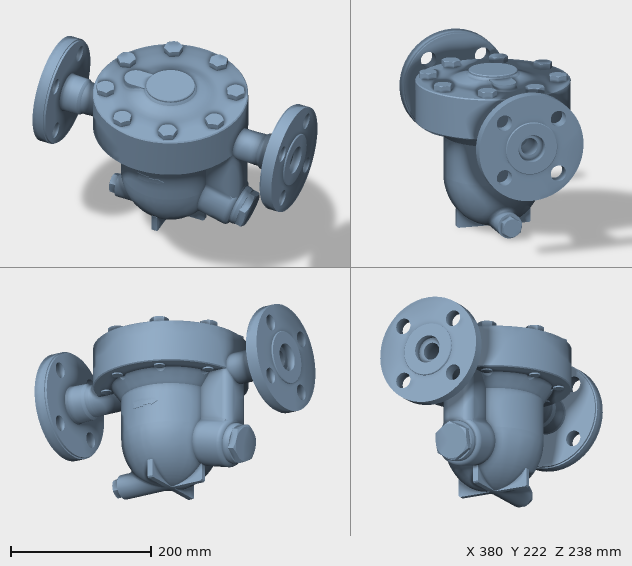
import cadquery as cq
import math

EMBED = 1.0

HEX_CORNER_SLOPE = 30.0

FACE_TO_FACE = 380.0
BODY_TO_LEFT_FACE = 183.0
PIPE_MIDDLE_X = FACE_TO_FACE / 2 - BODY_TO_LEFT_FACE
FLANGE_RADIUS = 78.0
FLANGE_BACK_STEP = 3.0
FLANGE_BACK_RADIUS = FLANGE_RADIUS - 2.0
FLANGE_BACK = 21.3
RAISED_FACE_RADIUS = 38.5
RAISED_FACE_HEIGHT = 2.0
RAISED_FACE_CHAMFER = 1.0
HUB_FLANGE_RADIUS = 28.0
HUB_BACK_RADIUS = 27.0
HUB_FRONT_RADIUS = 26.3
HUB_BACK = FLANGE_BACK + 3.0
HUB_FRONT = 47.0
WELD_START = 51.5
WELD_END = 64.0
WELD_RADIUS = 23.4
PIPE_RADIUS = 23.0
SOCKET_RADIUS = 20.0
SOCKET_DEPTH = 12.0
BORE_RADIUS = 12.5
BORE_DEPTH = 60.0
FLANGE_HOLE_DIAMETER = 23.0
FLANGE_HOLE_COUNT = 4
FLANGE_HOLE_FIRST_ANGLE = 180.0 / FLANGE_HOLE_COUNT
FLANGE_HOLE_CIRCLE_RADIUS = 57.2

JOINT_RADIUS = 111.0
JOINT_CHAMFER = 1.5
COVER_TOP_Z = 55.0
JOINT_BOTTOM_Z = -6.0
BOLT_COUNT = 8
BOLT_CIRCLE_RADIUS = 93.0
BOLT_FIRST_ANGLE = 180.0 / BOLT_COUNT
BOLT_HEAD_TWIST = -BOLT_FIRST_ANGLE
BOLT_HEAD_FLATS = 24.0
BOLT_HEAD_HEIGHT = 9.0
BOLT_DIAMETER = 16.0
BOLT_END_Z = JOINT_BOTTOM_Z - 2.0
SPOT_FACE_DIAMETER = 23.0

DISH_RADIUS = 67.0
CONE_SLOPE = 18.3
CONE_BASE_RADIUS = 55.5
CONE_BASE_Z = COVER_TOP_Z + (DISH_RADIUS - CONE_BASE_RADIUS) * math.tan(math.radians(CONE_SLOPE / 2))
CONE_TOP_RADIUS = 38.0
CONE_TOP_Z = CONE_BASE_Z + (CONE_BASE_RADIUS - CONE_TOP_RADIUS) * math.tan(math.radians(CONE_SLOPE))
CAP_RADIUS = 35.0
CAP_SIDE_BOTTOM_Z = 66.0
CAP_TOP_Z = 69.5
CAP_CHAMFER = 1.0
TAB_HALF_WIDTH = 16.5
TAB_TIP_X = -71.0
TAB_SHOULDER_X = TAB_TIP_X + TAB_HALF_WIDTH
TAB_TOP_Z = 64.5
TAB_BASE_FILLET = 3.0

BODY_RADIUS = 71.0
NECK_TOP_RADIUS = 85.0
NECK_BOTTOM_Z = -26.0
DOME_Z = -84.0
DOME_DEPTH = 75.5
BASE_Z = -160.0
FOOT_THICKNESS = 8.0
FOOT_REACH = 55.0
FOOT_TOP_Z = -133.0
FOOT_CHAMFER = 2.0

DRAIN_RADIUS = 18.0
DRAIN_Z = BASE_Z + DRAIN_RADIUS
DRAIN_END_X = -80.0
DRAIN_FILLET = 4.0
DRAIN_PLUG_FLATS = 26.0
DRAIN_PLUG_LENGTH = 11.0

STRAINER_SLOPE = 15.0
BARREL_RADIUS = 35.0
BARREL_END = 111.0
BARREL_END_FILLET = 7.0
STRAINER_CAP_RADIUS = 29.0
STRAINER_CAP_RIM_END = 115.5
STRAINER_CAP_END_RADIUS = 27.5
STRAINER_CAP_END = 121.0
STRAINER_HEX_FLATS = 49.5
STRAINER_HEX_END = 131.5

RIB_END_X = 114.0
RIB_HALF_WIDTH = 24.0
RIB_SINK = 22.0
RIB_CORNER_RADIUS = 12.0
RIB_BARREL_FILLET = 8.0

ARROW_Z = -52.0
ARROW_TAIL_X = -20.0
ARROW_NOTCH_X = -17.5
ARROW_WAIST_X = -0.5
ARROW_HEAD_X = 11.5
ARROW_TIP_X = 21.0
ARROW_HALF_WIDTH = 4.8
ARROW_SHAFT_HALF_WIDTH = 3.0
ARROW_HEIGHT = 1.0


def cylinder(plane, radius, length):
    return cq.Workplane(plane).circle(radius).extrude(length)


def hex_head(flats, height):
    """Hexagon standing on z = 0 with a corner on +X and rounded-off top corners."""
    corner_radius = flats / math.sqrt(3)
    prism = cq.Workplane("XY").polygon(6, 2 * corner_radius).extrude(height)
    corner_drop = (corner_radius - flats / 2) * math.tan(math.radians(HEX_CORNER_SLOPE))
    rounding = (
        cq.Workplane("XZ")
        .lineTo(corner_radius, 0)
        .lineTo(corner_radius, height - corner_drop)
        .lineTo(flats / 2, height)
        .lineTo(0, height)
        .close()
        .revolve(360, (0, 0, 0), (0, 1, 0))
    )
    return prism.intersect(rounding)


def place(solid, origin, direction, corner_direction):
    """Move a solid so that its Z axis follows direction and its X axis corner_direction."""
    plane = cq.Plane(origin=origin, xDir=corner_direction, normal=direction)
    return cq.Workplane(obj=solid.val().moved(cq.Location(plane)))


def make_nozzle():
    """Flange with welded pipe; the raised face is at z = 0 and the pipe runs up to the body axis."""
    face_edge = RAISED_FACE_RADIUS - RAISED_FACE_CHAMFER
    return (
        cq.Workplane("XZ")
        .lineTo(face_edge, 0)
        .lineTo(RAISED_FACE_RADIUS, RAISED_FACE_CHAMFER)
        .lineTo(RAISED_FACE_RADIUS, RAISED_FACE_HEIGHT)
        .lineTo(FLANGE_RADIUS, RAISED_FACE_HEIGHT)
        .lineTo(FLANGE_RADIUS, FLANGE_BACK - FLANGE_BACK_STEP)
        .lineTo(FLANGE_BACK_RADIUS, FLANGE_BACK - FLANGE_BACK_STEP)
        .lineTo(FLANGE_BACK_RADIUS, FLANGE_BACK)
        .lineTo(HUB_FLANGE_RADIUS, FLANGE_BACK)
        .lineTo(HUB_BACK_RADIUS, HUB_BACK)
        .lineTo(HUB_FRONT_RADIUS, HUB_FRONT)
        .lineTo(WELD_RADIUS, WELD_START)
        .lineTo(WELD_RADIUS, (WELD_START + WELD_END) / 2)
        .lineTo(PIPE_RADIUS, WELD_END)
        .lineTo(PIPE_RADIUS, BODY_TO_LEFT_FACE)
        .lineTo(0, BODY_TO_LEFT_FACE)
        .close()
        .revolve(360, (0, 0, 0), (0, 1, 0))
    )


def make_nozzle_cutter():
    """Stepped bore and flange holes, in the same position as the nozzle."""
    holes = (
        cq.Workplane("XY")
        .polarArray(FLANGE_HOLE_CIRCLE_RADIUS, FLANGE_HOLE_FIRST_ANGLE, 360, FLANGE_HOLE_COUNT)
        .circle(FLANGE_HOLE_DIAMETER / 2)
        .extrude(FLANGE_BACK)
    )
    socket = cylinder("XY", SOCKET_RADIUS, SOCKET_DEPTH)
    bore = cylinder("XY", BORE_RADIUS, BORE_DEPTH)
    return holes.union(socket).union(bore)


def both_nozzles(solid):
    left = place(solid, (-BODY_TO_LEFT_FACE, 0, 0), (1, 0, 0), (0, 0, 1))
    return left.union(left.mirror("YZ", (PIPE_MIDDLE_X, 0, 0)))


def make_joint():
    """Cover flange and body flange, closed on each other as one disc."""
    disc = cylinder("XY", JOINT_RADIUS, COVER_TOP_Z - JOINT_BOTTOM_Z)
    return disc.edges("%CIRCLE").chamfer(JOINT_CHAMFER).translate((0, 0, JOINT_BOTTOM_Z))


def make_cover_rise():
    """Cone in the middle of the cover, running out tangentially onto its flat top."""
    base_z = COVER_TOP_Z - EMBED
    return (
        cq.Workplane("XZ")
        .moveTo(0, base_z)
        .lineTo(0, CONE_TOP_Z)
        .lineTo(CONE_TOP_RADIUS, CONE_TOP_Z)
        .lineTo(CONE_BASE_RADIUS, CONE_BASE_Z)
        .tangentArcPoint((DISH_RADIUS, COVER_TOP_Z), relative=False)
        .lineTo(DISH_RADIUS, base_z)
        .close()
        .revolve(360, (0, 0, 0), (0, 1, 0))
    )


def make_tab():
    """Flat tab reaching left from the cap, with a rounded tip."""
    base_z = COVER_TOP_Z - EMBED
    return (
        cq.Workplane("XY", origin=(0, 0, base_z))
        .moveTo(0, -TAB_HALF_WIDTH)
        .lineTo(TAB_SHOULDER_X, -TAB_HALF_WIDTH)
        .threePointArc((TAB_TIP_X, 0), (TAB_SHOULDER_X, TAB_HALF_WIDTH))
        .lineTo(0, TAB_HALF_WIDTH)
        .close()
        .extrude(TAB_TOP_Z - base_z)
    )


def add_cover_centre(cover):
    """Join the rise and the tab to the cover, round the foot of the tab and set the cap on top."""
    tab_foot = cq.selectors.BoxSelector(
        (TAB_TIP_X - EMBED, -TAB_HALF_WIDTH - EMBED, COVER_TOP_Z - EMBED),
        (-CONE_TOP_RADIUS, TAB_HALF_WIDTH + EMBED, CONE_TOP_Z),
    )
    cover = cover.union(make_cover_rise()).union(make_tab())
    cover = cover.edges(tab_foot).edges("not |Z").fillet(TAB_BASE_FILLET)
    return cover.union(make_cap())


def make_cap():
    """Round cap on the cone, flared at its foot."""
    return (
        cq.Workplane("XZ")
        .moveTo(0, CONE_TOP_Z - EMBED)
        .lineTo(CONE_TOP_RADIUS, CONE_TOP_Z - EMBED)
        .lineTo(CONE_TOP_RADIUS, CONE_TOP_Z)
        .lineTo(CAP_RADIUS, CAP_SIDE_BOTTOM_Z)
        .lineTo(CAP_RADIUS, CAP_TOP_Z - CAP_CHAMFER)
        .lineTo(CAP_RADIUS - CAP_CHAMFER, CAP_TOP_Z)
        .lineTo(0, CAP_TOP_Z)
        .close()
        .revolve(360, (0, 0, 0), (0, 1, 0))
    )


def make_body():
    """Conical neck, cylinder and domed bottom below the joint."""
    return (
        cq.Workplane("XZ")
        .moveTo(0, JOINT_BOTTOM_Z + EMBED)
        .lineTo(NECK_TOP_RADIUS, JOINT_BOTTOM_Z + EMBED)
        .lineTo(NECK_TOP_RADIUS, JOINT_BOTTOM_Z)
        .lineTo(BODY_RADIUS, NECK_BOTTOM_Z)
        .lineTo(BODY_RADIUS, DOME_Z)
        .ellipseArc(BODY_RADIUS, DOME_DEPTH, -90, 0, sense=-1)
        .close()
        .revolve(360, (0, 0, 0), (0, 1, 0))
    )


def make_feet():
    """Upright plates under the dome: one across its whole width and one reaching right."""
    height = FOOT_TOP_Z - BASE_Z
    across = (
        cq.Workplane("XY", origin=(0, 0, BASE_Z))
        .rect(FOOT_THICKNESS, 2 * FOOT_REACH)
        .extrude(height)
        .edges("|X and <Z")
        .chamfer(FOOT_CHAMFER)
    )
    reaching_right = (
        cq.Workplane("XY", origin=(FOOT_REACH / 2, 0, BASE_Z))
        .rect(FOOT_REACH, FOOT_THICKNESS)
        .extrude(height)
        .edges("|Y and <Z and >X")
        .chamfer(FOOT_CHAMFER)
    )
    return across.union(reaching_right)


def add_drain_boss(body):
    """Join the drain boss to the dome and round the corner between them."""
    boss = cylinder("YZ", DRAIN_RADIUS, -DRAIN_END_X).translate((DRAIN_END_X, 0, DRAIN_Z))
    corner = cq.selectors.BoxSelector(
        (DRAIN_END_X, -DRAIN_RADIUS, BASE_Z),
        (-EMBED, DRAIN_RADIUS, BASE_Z + 2 * DRAIN_RADIUS),
    )
    return body.union(boss).edges("%BSPLINE").edges(corner).fillet(DRAIN_FILLET)


def make_drain_plug():
    plug = hex_head(DRAIN_PLUG_FLATS, DRAIN_PLUG_LENGTH + EMBED)
    return place(plug, (DRAIN_END_X + EMBED, 0, DRAIN_Z), (-1, 0, 0), (0, 0, 1))


def along_strainer(solid):
    """Lay a solid built along +Z on the sloping strainer axis, its X axis in the XZ plane."""
    slope = math.radians(STRAINER_SLOPE)
    direction = (math.cos(slope), 0, -math.sin(slope))
    upward = (math.sin(slope), 0, math.cos(slope))
    return place(solid, (0, 0, DOME_Z), direction, upward)


def make_strainer_barrel():
    barrel = cylinder("XY", BARREL_RADIUS, BARREL_END)
    return along_strainer(barrel.faces(">Z").edges().fillet(BARREL_END_FILLET))


def make_strainer_cap():
    base = BARREL_END - EMBED
    collar = (
        cq.Workplane("XZ")
        .moveTo(0, base)
        .lineTo(STRAINER_CAP_RADIUS, base)
        .lineTo(STRAINER_CAP_RADIUS, STRAINER_CAP_RIM_END)
        .lineTo(STRAINER_CAP_END_RADIUS, STRAINER_CAP_END)
        .lineTo(0, STRAINER_CAP_END)
        .close()
        .revolve(360, (0, 0, 0), (0, 1, 0))
    )
    hex_base = STRAINER_CAP_END - EMBED
    hexagon = hex_head(STRAINER_HEX_FLATS, STRAINER_HEX_END - hex_base).translate((0, 0, hex_base))
    return along_strainer(collar.union(hexagon))


def make_rib():
    """Upright rib from the strainer barrel to the joint, rounded at its right-hand corners."""
    slope = math.radians(STRAINER_SLOPE)
    inner_bottom = DOME_Z + RIB_SINK / math.cos(slope)
    outer_bottom = inner_bottom - RIB_END_X * math.tan(slope)
    outline = [
        (0, JOINT_BOTTOM_Z),
        (0, inner_bottom),
        (RIB_END_X, outer_bottom),
        (RIB_END_X, JOINT_BOTTOM_Z),
    ]
    return (
        cq.Workplane("XZ")
        .polyline(outline)
        .close()
        .extrude(RIB_HALF_WIDTH, both=True)
        .edges("|Z and >X")
        .fillet(RIB_CORNER_RADIUS)
    )


def make_rib_fillets():
    """Strips that round the inside corners between the rib sides and the strainer barrel."""
    arc_centre_y = RIB_HALF_WIDTH + RIB_BARREL_FILLET
    arc_centre_height = math.sqrt((BARREL_RADIUS + RIB_BARREL_FILLET) ** 2 - arc_centre_y**2)
    to_barrel = BARREL_RADIUS / (BARREL_RADIUS + RIB_BARREL_FILLET)
    barrel_tangent = (arc_centre_height * to_barrel, arc_centre_y * to_barrel)
    rib_tangent = (arc_centre_height, RIB_HALF_WIDTH)
    middle_x = (barrel_tangent[0] + rib_tangent[0]) / 2 - arc_centre_height
    middle_y = (barrel_tangent[1] + rib_tangent[1]) / 2 - arc_centre_y
    to_arc = RIB_BARREL_FILLET / math.hypot(middle_x, middle_y)
    arc_middle = (arc_centre_height + middle_x * to_arc, arc_centre_y + middle_y * to_arc)
    strip = (
        cq.Workplane("XY")
        .moveTo(RIB_SINK, RIB_HALF_WIDTH - EMBED)
        .lineTo(*barrel_tangent)
        .threePointArc(arc_middle, rib_tangent)
        .lineTo(rib_tangent[0], RIB_HALF_WIDTH - EMBED)
        .close()
        .extrude(BARREL_END - BARREL_END_FILLET)
    )
    return along_strainer(strip.union(strip.mirror("XZ")))


def make_arrow():
    """Raised arrow pointing right, following the round front of the body."""
    upper_half = [
        (ARROW_TAIL_X, ARROW_HALF_WIDTH),
        (ARROW_WAIST_X, ARROW_HALF_WIDTH),
        (ARROW_WAIST_X, ARROW_SHAFT_HALF_WIDTH),
        (ARROW_HEAD_X, ARROW_SHAFT_HALF_WIDTH),
        (ARROW_HEAD_X, ARROW_HALF_WIDTH),
    ]
    lower_half = [(x, -z) for x, z in reversed(upper_half)]
    outline = [(ARROW_NOTCH_X, 0)] + upper_half + [(ARROW_TIP_X, 0)] + lower_half
    prism = (
        cq.Workplane("XZ", origin=(0, 0, ARROW_Z))
        .polyline(outline)
        .close()
        .extrude(BODY_RADIUS + 2 * ARROW_HEIGHT)
    )
    shell_height = 4 * ARROW_HALF_WIDTH
    shell = (
        cq.Workplane("XY", origin=(0, 0, ARROW_Z - shell_height / 2))
        .circle(BODY_RADIUS + ARROW_HEIGHT)
        .circle(BODY_RADIUS - EMBED)
        .extrude(shell_height)
    )
    return prism.intersect(shell)


def bolt_places():
    """Angle and centre of each cover bolt."""
    for index in range(BOLT_COUNT):
        degrees = BOLT_FIRST_ANGLE + index * 360 / BOLT_COUNT
        angle = math.radians(degrees)
        yield degrees, BOLT_CIRCLE_RADIUS * math.cos(angle), BOLT_CIRCLE_RADIUS * math.sin(angle)


def add_bolts(part):
    """Cut the spot faces into the neck, then add bolt heads above and bolt ends below the joint."""
    head = hex_head(BOLT_HEAD_FLATS, BOLT_HEAD_HEIGHT + EMBED)
    spot_face = cylinder("XY", SPOT_FACE_DIAMETER / 2, NECK_BOTTOM_Z - JOINT_BOTTOM_Z)
    bolt_end = cylinder("XY", BOLT_DIAMETER / 2, JOINT_BOTTOM_Z + EMBED - BOLT_END_Z)
    for degrees, x, y in bolt_places():
        turned_head = head.rotate((0, 0, 0), (0, 0, 1), degrees + BOLT_HEAD_TWIST)
        part = part.cut(spot_face.translate((x, y, JOINT_BOTTOM_Z)))
        part = part.union(turned_head.translate((x, y, COVER_TOP_Z - EMBED)))
        part = part.union(bolt_end.translate((x, y, BOLT_END_Z)))
    return part


result = add_cover_centre(make_joint())
result = result.union(add_drain_boss(make_body()))
result = add_bolts(result)
result = result.union(make_feet())
result = result.union(make_drain_plug())
result = result.union(make_rib().union(make_strainer_barrel()).union(make_rib_fillets()))
result = result.union(make_strainer_cap())
result = result.union(make_arrow())
result = result.union(both_nozzles(make_nozzle()))
result = result.cut(both_nozzles(make_nozzle_cutter()))